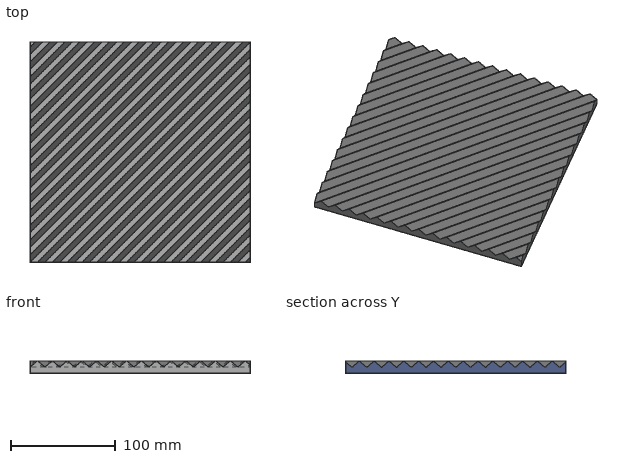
import cadquery as cq
import math

side = 210.0
thickness = 12.0

groove_pitch = 10.0
groove_depth = 6.0
groove_angle = 45.0

half_diagonal = side / math.sqrt(2)
grooves_per_half = math.ceil(half_diagonal / groove_pitch)


def make_plate():
    """Plain square plate centred on the Z axis, resting on Z = 0."""
    return cq.Workplane("XY").box(side, side, thickness, centered=(True, True, False))


def make_groove_cutter():
    """Sawtooth prism whose teeth point down; the middle tooth lies on the plate's diagonal."""
    last_crest = (grooves_per_half + 0.5) * groove_pitch
    outline = [(-last_crest, thickness)]
    for index in range(-grooves_per_half, grooves_per_half + 1):
        valley = index * groove_pitch
        outline.append((valley, thickness - groove_depth))
        outline.append((valley + groove_pitch / 2, thickness))
    clear_height = thickness + groove_depth
    outline.append((last_crest, clear_height))
    outline.append((-last_crest, clear_height))

    prism = cq.Workplane("XZ").polyline(outline).close().extrude(last_crest, both=True)
    return prism.rotate((0, 0, 0), (0, 0, 1), -groove_angle)


result = make_plate().cut(make_groove_cutter())